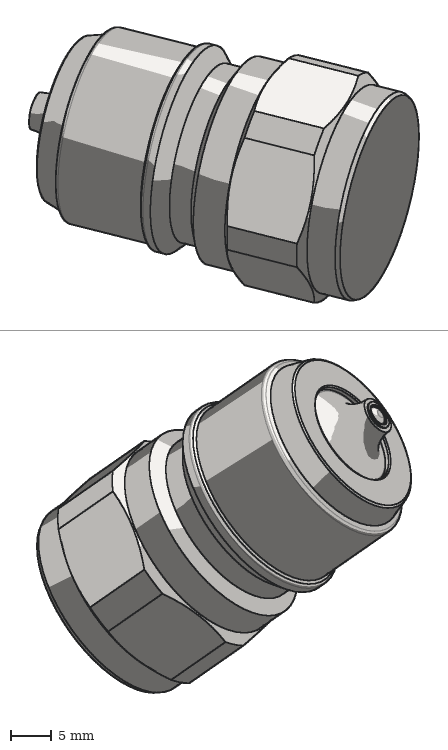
import cadquery as cq
import math

LENGTH = 46.2

TIP_RADIUS = 2.4
TIP_X = 0.4
STEP_RADIUS = 1.85
STEP_X = 0.25
PIN_BORE_RADIUS = 1.45
PIN_RADIUS = 1.25
PIN_FLAT_RADIUS = 0.5
PIN_GAP_DEPTH = 0.25

FLARE_RADIUS = 5.1
FLARE_SWEEP = math.radians(78)
RECESS_RADIUS = 6.6
RECESS_MOUTH_RADIUS = 6.8
RECESS_CHAMFER = 0.2

FACE_X = 4.65
FACE_RADIUS = 10.4
FACE_CHAMFER = 0.2
LEAD_RADIUS = 10.65
SHOULDER_X = 7.7
LEAD_END_RADIUS = 11.55
BODY_RADIUS = 12.55
SHOULDER_CONE_LENGTH = 0.25
SHOULDER_ROUND = 0.4

COLLAR_RADIUS = 13.3
COLLAR_X = 19.4
COLLAR_CONE_LENGTH = 0.25
COLLAR_ROUND = 0.35
COLLAR_END_X = 21.0
GROOVE_RADIUS = 11.45
GROOVE_X = 22.8
GROOVE_END_X = 25.7
REAR_X = 26.75

HEX_ACROSS_FLATS = 27.0
HEX_TURNED_RADIUS = 14.65
HEX_X = 30.95
HEX_END_X = 41.9
HEX_CHAMFER = 0.85

END_CHAMFER = 0.55
END_RADIUS = 13.03


def around_corner(outline, start, corner_height, length):
    """Round from a steep cone onto a cylinder of the given radius."""
    x, radius = start
    rise = corner_height - radius
    middle = (x + length * (1 - math.sqrt(0.5)), radius + rise * math.sqrt(0.5))
    return outline.threePointArc(middle, (x + length, corner_height))


def flare_point(angle):
    """Point on the concave flare, measured from its start at the tip."""
    return (
        TIP_X + FLARE_RADIUS * math.sin(angle),
        TIP_RADIUS + FLARE_RADIUS * (1 - math.cos(angle)),
    )


def turned_body():
    recess_floor_x = flare_point(FLARE_SWEEP)[0]
    pin_floor_x = STEP_X + PIN_GAP_DEPTH
    pin_rise = PIN_RADIUS - PIN_FLAT_RADIUS
    dome_radius = (pin_floor_x**2 + pin_rise**2) / (2 * pin_floor_x)
    dome_half_sweep = math.asin(pin_rise / dome_radius) / 2
    pin_mid_radius = PIN_FLAT_RADIUS + dome_radius * math.sin(dome_half_sweep)
    pin_mid_x = dome_radius * (1 - math.cos(dome_half_sweep))

    shoulder_start = (SHOULDER_X + SHOULDER_CONE_LENGTH, BODY_RADIUS - SHOULDER_ROUND)
    collar_start = (COLLAR_X + COLLAR_CONE_LENGTH, COLLAR_RADIUS - COLLAR_ROUND)

    outline = (
        cq.Workplane("XY")
        .moveTo(0, 0)
        .lineTo(0, PIN_FLAT_RADIUS)
        .threePointArc((pin_mid_x, pin_mid_radius), (pin_floor_x, PIN_RADIUS))
        .lineTo(pin_floor_x, PIN_BORE_RADIUS)
        .lineTo(STEP_X, PIN_BORE_RADIUS)
        .lineTo(STEP_X, STEP_RADIUS)
        .lineTo(TIP_X, STEP_RADIUS)
        .lineTo(TIP_X, TIP_RADIUS)
        .threePointArc(flare_point(FLARE_SWEEP / 2), flare_point(FLARE_SWEEP))
        .lineTo(recess_floor_x, RECESS_RADIUS)
        .lineTo(FACE_X + RECESS_CHAMFER, RECESS_RADIUS)
        .lineTo(FACE_X, RECESS_MOUTH_RADIUS)
        .lineTo(FACE_X, FACE_RADIUS)
        .lineTo(FACE_X + FACE_CHAMFER, LEAD_RADIUS)
        .lineTo(SHOULDER_X, LEAD_END_RADIUS)
        .lineTo(*shoulder_start)
    )
    outline = around_corner(outline, shoulder_start, BODY_RADIUS, SHOULDER_ROUND)
    outline = outline.lineTo(COLLAR_X, BODY_RADIUS).lineTo(*collar_start)
    outline = around_corner(outline, collar_start, COLLAR_RADIUS, COLLAR_ROUND)
    outline = (
        outline.lineTo(COLLAR_END_X, COLLAR_RADIUS)
        .lineTo(GROOVE_X, GROOVE_RADIUS)
        .lineTo(GROOVE_END_X, GROOVE_RADIUS)
        .lineTo(REAR_X, COLLAR_RADIUS)
        .lineTo(LENGTH - END_CHAMFER, COLLAR_RADIUS)
        .lineTo(LENGTH, END_RADIUS)
        .lineTo(LENGTH, 0)
        .close()
    )
    return outline.revolve(360, (0, 0, 0), (1, 0, 0))


def hexagon():
    corner_diameter = HEX_ACROSS_FLATS / math.cos(math.pi / 6)
    prism = (
        cq.Workplane("YZ", origin=(HEX_X, 0, 0))
        .polygon(6, corner_diameter)
        .extrude(HEX_END_X - HEX_X)
    )
    turned_envelope = (
        cq.Workplane("XY")
        .moveTo(HEX_X, 0)
        .lineTo(HEX_X, COLLAR_RADIUS)
        .lineTo(HEX_X + HEX_CHAMFER, HEX_TURNED_RADIUS)
        .lineTo(HEX_END_X - HEX_CHAMFER, HEX_TURNED_RADIUS)
        .lineTo(HEX_END_X, COLLAR_RADIUS)
        .lineTo(HEX_END_X, 0)
        .close()
        .revolve(360, (0, 0, 0), (1, 0, 0))
    )
    return prism.intersect(turned_envelope)


result = turned_body().union(hexagon())